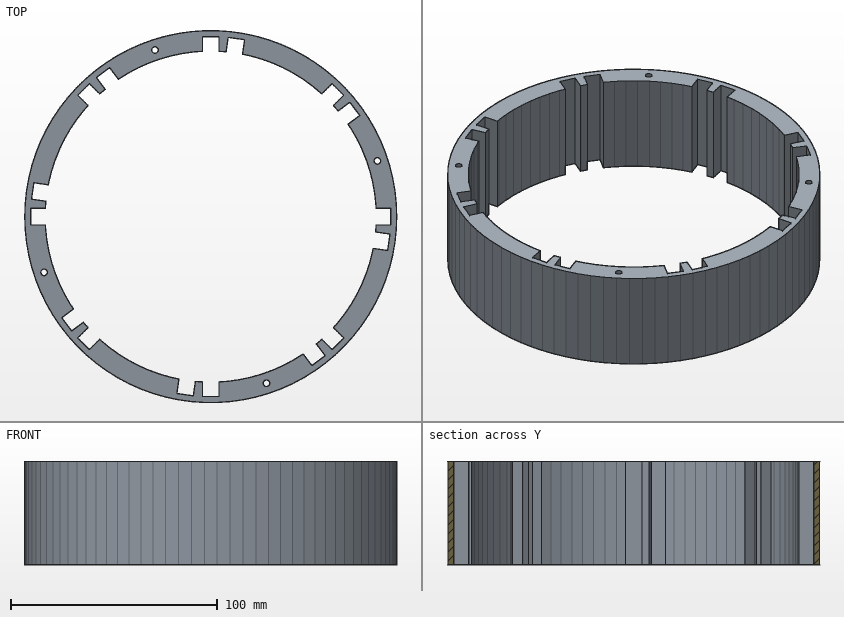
import cadquery as cq

OUTER_DIAMETER = 180.0
INNER_DIAMETER = 160.0
HEIGHT = 50.0
FACET_COUNT = 90

SLOT_PAIR_COUNT = 8
SLOT_WIDTH = 8.0
SLOT_FLOOR_RADIUS = 87.0
SLOT_PAIR_ANGLE = 8.2

HOLE_COUNT = 4
HOLE_DIAMETER = 3.0
HOLE_CIRCLE_RADIUS = 85.0
FIRST_HOLE_ANGLE = 18.5


def make_ring():
    return (
        cq.Workplane("XY")
        .polygon(FACET_COUNT, OUTER_DIAMETER)
        .polygon(FACET_COUNT, INNER_DIAMETER)
        .extrude(HEIGHT)
    )


def make_slot(angle):
    """Radial bar from the ring axis to the slot floor, turned to the given angle."""
    bar = cq.Workplane("XY").box(SLOT_FLOOR_RADIUS, SLOT_WIDTH, HEIGHT, centered=(False, True, False))
    return bar.rotate((0, 0, 0), (0, 0, 1), angle)


def cut_slot_pairs(ring):
    for pair in range(SLOT_PAIR_COUNT):
        pair_angle = pair * 360 / SLOT_PAIR_COUNT
        ring = ring.cut(make_slot(pair_angle))
        ring = ring.cut(make_slot(pair_angle - SLOT_PAIR_ANGLE))
    return ring


def cut_holes(ring):
    holes = (
        cq.Workplane("XY")
        .polarArray(HOLE_CIRCLE_RADIUS, FIRST_HOLE_ANGLE, 360, HOLE_COUNT)
        .circle(HOLE_DIAMETER / 2)
        .extrude(HEIGHT)
    )
    return ring.cut(holes)


result = cut_holes(cut_slot_pairs(make_ring()))